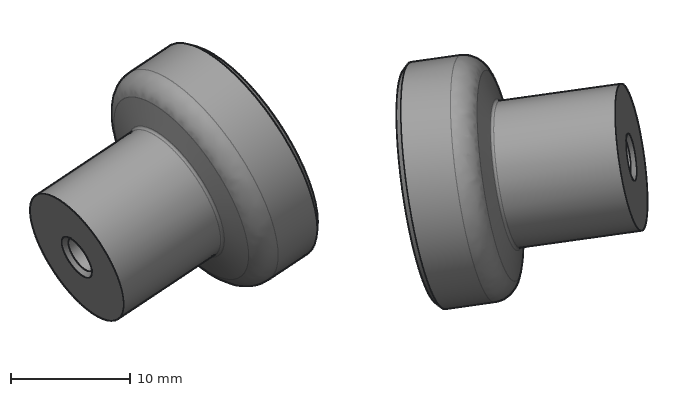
import cadquery as cq
import math

head_diameter = 21.0
overall_length = 18.0
stem_diameter = 12.5
head_depth = 7.33
shoulder_slope = 13.0
rim_radius = 2.0
root_radius = 0.25
rear_chamfer = 0.5

bore_diameter = 3.23
bore_depth = 10.0
drill_point_angle = 118.0
mouth_chamfer = 0.4

head_radius = head_diameter / 2
stem_radius = stem_diameter / 2
bore_radius = bore_diameter / 2
stem_face_y = -overall_length / 2
rear_face_y = overall_length / 2


def revolve_about_y(outline):
    """Close an X-Y half section and turn it about the Y axis."""
    return outline.close().revolve(360, (0, 0, 0), (0, 1, 0))


def edges_at(y):
    """Selector for the circular edges lying in the plane at this Y."""
    reach = head_diameter
    margin = 0.02
    return cq.selectors.BoxSelector((-reach, y - margin, -reach), (reach, y + margin, reach))


def make_body():
    """Head, sloped shoulder and stem, with rounded rim and root."""
    root_y = rear_face_y - head_depth
    slope_rise = (head_radius - stem_radius) * math.tan(math.radians(shoulder_slope))
    rim_y = root_y + slope_rise
    outline = (
        cq.Workplane("XY")
        .moveTo(0, stem_face_y)
        .lineTo(stem_radius, stem_face_y)
        .lineTo(stem_radius, root_y)
        .lineTo(head_radius, rim_y)
        .lineTo(head_radius, rear_face_y)
        .lineTo(0, rear_face_y)
    )
    body = revolve_about_y(outline)
    body = body.faces(">Y").edges().chamfer(rear_chamfer)
    body = body.edges(edges_at(rim_y)).fillet(rim_radius)
    return body.edges(edges_at(root_y)).fillet(root_radius)


def make_bore():
    """Blind drilled hole with a conical end and a 45 degree mouth chamfer."""
    mouth_radius = bore_radius + mouth_chamfer
    bore_end_y = stem_face_y + bore_depth
    point_length = bore_radius / math.tan(math.radians(drill_point_angle / 2))
    outline = (
        cq.Workplane("XY")
        .moveTo(0, stem_face_y)
        .lineTo(mouth_radius, stem_face_y)
        .lineTo(bore_radius, stem_face_y + mouth_chamfer)
        .lineTo(bore_radius, bore_end_y)
        .lineTo(0, bore_end_y + point_length)
    )
    return revolve_about_y(outline)


result = make_body().cut(make_bore())